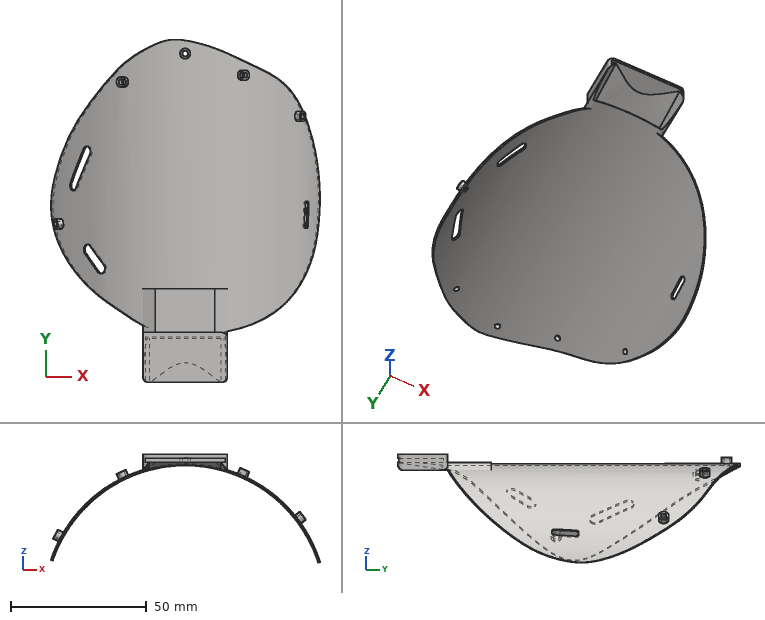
import cadquery as cq
import math

AXIS_X = -0.3
AXIS_Z = -55.5
OUTER_RADIUS = 52.1
SHELL_THICKNESS = 0.8
INNER_RADIUS = OUTER_RADIUS - SHELL_THICKNESS
SHELL_LENGTH = 126.1

SHELL_EDGE = [
    (-2.2, SHELL_LENGTH), (12.5, 122.8), (28.3, 116.8), (42.7, 110.9), (51.4, 104.8),
    (59.7, 95.7), (66.0, 86.6), (70.4, 77.4), (72.4, 66.8), (71.0, 59.3), (67.0, 50.2),
    (59.7, 41.0), (49.3, 31.9), (38.9, 25.6), (20.9, 19.4), (4.0, 17.7), (-8.0, 18.4),
    (-17.9, 21.2), (-26.0, 25.5), (-37.8, 31.9), (-51.4, 41.0), (-62.4, 50.2), (-67.9, 56.2),
    (-71.4, 65.6), (-67.9, 74.4), (-61.0, 83.6), (-53.0, 92.7), (-43.5, 101.8),
    (-33.6, 110.7), (-26.4, 116.8), (-15.8, 122.8),
]

STUD_DIAMETER = 3.8
STUD_HOLE_DIAMETER = 2.0
STUD_HEIGHT = 2.3
STUDS = [(0.0, 121.0), (-25.7, 110.5), (23.8, 113.0), (52.8, 97.9), (-61.3, 58.3)]

SLOTS = [
    (-48.2, 78.7, 14.5, 3.8, -31.0),
    (-40.1, 45.4, 9.5, 3.8, 43.0),
    (59.2, 61.7, 7.6, 2.5, -4.0),
]

MOUNT_WIDTH = 31.1
BLOCK_LENGTH = 18.4
BLOCK_HEIGHT = 5.9
BLOCK_CORNER_RADIUS = 2.1
ROOF_THICKNESS = 1.5
SIDE_WALL = 0.9
SLOT_HEIGHT = 1.5
BACK_WALL = 1.5
RELIEF_FRONT_CROWN_Z = -2.3
RELIEF_FRONT_SHOULDER_Z = -3.0
RELIEF_SHOULDER_INSET = 2.4
PAD_END_Y = 34.5
PAD_TOP_Z = -3.0
PAD_EDGE_Z = -5.8
PAD_TAPER_WIDTH = 4.7

CUT_DEPTH = 6.3


def cylinder(radius):
    """Full cylinder about the shell axis, spanning the shell length."""
    return cq.Workplane("XZ", origin=(AXIS_X, 0, AXIS_Z)).circle(radius).extrude(-SHELL_LENGTH)


def radial_plane(angle, y, radius):
    """Plane tangent to a cylinder of this radius; its normal points outward, local y along Y."""
    turn = math.radians(angle)
    outward = (math.sin(turn), 0, math.cos(turn))
    across = (math.cos(turn), 0, -math.sin(turn))
    origin = (AXIS_X + radius * outward[0], y, AXIS_Z + radius * outward[2])
    return cq.Plane(origin=origin, xDir=across, normal=outward)


def make_shell():
    """Trim the outer cylinder surface to the free-form edge and thicken it inward."""
    outline = [(AXIS_X + OUTER_RADIUS * math.sin(math.radians(a)), y) for a, y in SHELL_EDGE]
    prism = (
        cq.Workplane("XY", origin=(0, 0, AXIS_Z))
        .spline(outline, periodic=True)
        .close()
        .extrude(2 * OUTER_RADIUS)
    )
    surface = cylinder(OUTER_RADIUS).faces("%CYLINDER").val().intersect(prism.val())
    return cq.Workplane(surface.Faces()[0].thicken(-SHELL_THICKNESS))


def cut_slots(body):
    for angle, y, spacing, width, tilt in SLOTS:
        slot = (
            cq.Workplane(radial_plane(angle, y, OUTER_RADIUS))
            .transformed(rotate=(0, 0, 90 + tilt))
            .slot2D(spacing + width, width)
            .extrude(CUT_DEPTH, both=True)
        )
        body = body.cut(slot)
    return body


def add_studs(body):
    for angle, y in STUDS:
        base = cq.Workplane(radial_plane(angle, y, INNER_RADIUS))
        stud = base.circle(STUD_DIAMETER / 2).extrude(SHELL_THICKNESS + STUD_HEIGHT)
        hole = base.circle(STUD_HOLE_DIAMETER / 2).extrude(CUT_DEPTH, both=True)
        body = body.union(stud.cut(cylinder(INNER_RADIUS))).cut(hole)
    return body


def bore_z(x):
    """Height of the shell bore at a distance x from its axis plane."""
    return AXIS_Z + math.sqrt(INNER_RADIUS ** 2 - x ** 2)


def make_relief():
    """Space under the socket floor: follows the shell bore at the rear and rises to the front."""
    half = MOUNT_WIDTH / 2
    shoulder = half - RELIEF_SHOULDER_INSET
    bottom_z = -2 * BLOCK_HEIGHT

    def section(start, edge_z, shoulder_z, crown_z):
        return (
            start.moveTo(-half, bottom_z)
            .lineTo(-half, edge_z)
            .lineTo(-shoulder, shoulder_z)
            .threePointArc((0, crown_z), (shoulder, shoulder_z))
            .lineTo(half, edge_z)
            .lineTo(half, bottom_z)
            .close()
        )

    front = section(cq.Workplane("XZ", origin=(AXIS_X, 0, 0)),
                    -BLOCK_HEIGHT, RELIEF_FRONT_SHOULDER_Z, RELIEF_FRONT_CROWN_Z)
    rear_start = front.workplane(offset=-BLOCK_LENGTH)
    return section(rear_start, bore_z(half), bore_z(shoulder), bore_z(0)).loft(ruled=True)


def make_mount():
    """Socket block and tapered pad, with undersides following the inside of the shell."""
    half = MOUNT_WIDTH / 2
    block = (
        cq.Workplane("XY", origin=(AXIS_X, BLOCK_LENGTH / 2, 0))
        .rect(MOUNT_WIDTH, BLOCK_LENGTH)
        .extrude(-BLOCK_HEIGHT)
    )
    block = block.edges("|Z and (<Y or >X)").fillet(BLOCK_CORNER_RADIUS)
    cavity_length = BLOCK_LENGTH - BACK_WALL
    cavity = (
        cq.Workplane("XY", origin=(AXIS_X, cavity_length / 2, -ROOF_THICKNESS))
        .rect(MOUNT_WIDTH - 2 * SIDE_WALL, cavity_length)
        .extrude(-SLOT_HEIGHT)
    )
    relief = make_relief()
    floor = (
        cq.Workplane("XY", origin=(AXIS_X, BLOCK_LENGTH / 2, -ROOF_THICKNESS - SLOT_HEIGHT))
        .rect(MOUNT_WIDTH, BLOCK_LENGTH)
        .extrude(-BLOCK_HEIGHT)
    )
    block = block.cut(relief.intersect(floor)).cut(cavity)
    pad_start_y = BLOCK_LENGTH - BLOCK_CORNER_RADIUS
    flat = half - PAD_TAPER_WIDTH
    pad = (
        cq.Workplane("XZ", origin=(AXIS_X, pad_start_y, 0))
        .polyline([(-half, -BLOCK_HEIGHT), (-half, PAD_EDGE_Z), (-flat, PAD_TOP_Z),
                   (flat, PAD_TOP_Z), (half, PAD_EDGE_Z), (half, -BLOCK_HEIGHT)])
        .close()
        .extrude(pad_start_y - PAD_END_Y)
    )
    return block.union(pad).cut(cavity).cut(cylinder(INNER_RADIUS))


body = cut_slots(make_shell()).union(make_mount())
result = add_studs(body)